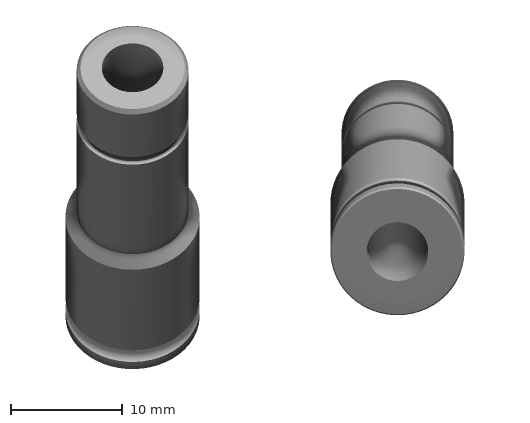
import cadquery as cq

flange_top = 1.2
body_bottom = 2.7
body_top = 15.7
groove_bottom = 28.8
groove_top = 29.7
total_height = 36.5

body_diameter = 12.0
collar_neck_diameter = 7.3
plug_diameter = 10.0
groove_diameter = 9.2
bore_diameter = 5.5

flange_chamfer = 0.15
neck_fillet = 0.1
body_chamfer = 0.2
shoulder_chamfer = (body_diameter - plug_diameter) / 2
plug_tip_chamfer = 0.35
groove_cone_height = 0.2


def cylinder(diameter, bottom, top):
    """Solid cylinder on the Z axis between two levels."""
    return cq.Workplane("XY").workplane(offset=bottom).circle(diameter / 2).extrude(top - bottom)


def make_release_collar():
    """Flange with a chamfered underside, and a neck that reaches up to the body."""
    flange = cylinder(body_diameter, 0, flange_top)
    flange = flange.faces("<Z").edges().chamfer(flange_chamfer)
    collar = flange.union(cylinder(collar_neck_diameter, 0, body_bottom))
    neck_circles = collar.edges("%CIRCLE").edges(cq.selectors.RadiusNthSelector(0))
    return neck_circles.edges("<Z").fillet(neck_fillet)


def make_body():
    """Wide body with a chamfered lower rim and a conical shoulder up to the plug."""
    barrel = cylinder(body_diameter, body_bottom, body_top)
    barrel = barrel.faces("<Z").edges().chamfer(body_chamfer)
    return barrel.faces(">Z").edges().chamfer(shoulder_chamfer)


def make_groove():
    """Ring removed from the plug, with a flat lower wall and a conical upper wall."""
    groove_radius = groove_diameter / 2
    plug_radius = plug_diameter / 2
    profile = cq.Workplane("XZ").moveTo(groove_radius, groove_bottom)
    profile = profile.lineTo(plug_radius, groove_bottom)
    profile = profile.lineTo(plug_radius, groove_top + groove_cone_height)
    profile = profile.lineTo(groove_radius, groove_top).close()
    return profile.revolve(360, (0, 0), (0, 1))


def make_plug():
    """Long plug with a chamfered tip and a groove around it."""
    stem = cylinder(plug_diameter, body_top, total_height)
    stem = stem.faces(">Z").edges().chamfer(plug_tip_chamfer)
    return stem.cut(make_groove())


bore = cylinder(bore_diameter, 0, total_height)
result = make_release_collar().union(make_body()).union(make_plug()).cut(bore)